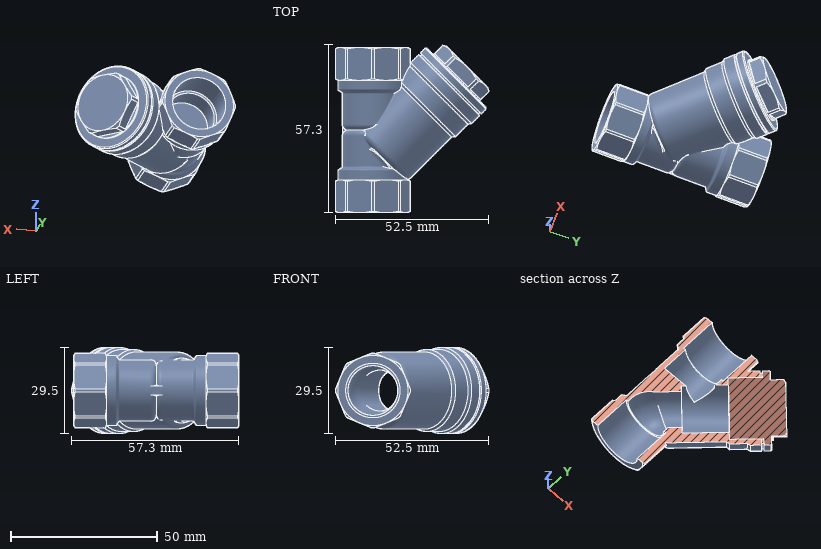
import cadquery as cq
import math

RUN_HALF = 28.25
RUN_RADIUS = 21 / 2
COLLAR_RADIUS = 24 / 2
COLLAR_FOOT = 12.75
COLLAR_CONE_LENGTH = 0.9
COLLAR_ROUND = 0.5
OCTAGON_START = 17.0
OCTAGON_ACROSS_FLATS = 24.0
OCTAGON_CORNER_RADIUS = 25.6 / 2
CORNER_CHAMFER_ANGLE = math.radians(30)

GROOVE_HALF_WIDTH = 1.9
GROOVE_ROUND = 2.0
BAR_TOP_WIDTH = 3.0
BAR_BASE_WIDTH = 4.2
BAR_DEPTH = 2.0

SOCKET_RADIUS = 18.63 / 2
SOCKET_DEPTH = 14.0
BORE_RADIUS = 17 / 2
INLET_ROUND_CENTER = 12.5
OUTLET_BORE_END = INLET_ROUND_CENTER - BORE_RADIUS

BRANCH_ANGLE = math.radians(45)
BRANCH_CROSSING_Y = -10.7
BRANCH_RADIUS = 26.4 / 2
BRANCH_FOOT = 3.1
BRANCH_FOOT_ROUND = 2.1
FOOT_BLEND_RADIUS = 1.5
SIDE_BLEND_RADIUS = 0.5
MIDDLE_RADIUS = 28.1 / 2
MIDDLE_BOTTOM = 25.95
MOUTH_RADIUS = 29.5 / 2
MOUTH_BOTTOM = 33.0
STEP_CONE_LENGTH = 1.05
MOUTH_TOP = 36.9

PORT_RADIUS = 14 / 2
PORT_TOP = 9.9
CHAMBER_RADIUS = 18.5 / 2
PLUG_RADIUS = 24.1 / 2
PLUG_BOTTOM = MIDDLE_BOTTOM

GASKET_RADIUS = 28.1 / 2
GASKET_THICKNESS = 0.8
FLANGE_RADIUS = MOUTH_RADIUS
FLANGE_BOTTOM = MOUTH_TOP + GASKET_THICKNESS
FLANGE_TOP = 40.4
FLANGE_CHAMFER = 0.4
HEX_BASE_HEIGHT = 0.55
HEX_CORNER_RADIUS = 22.38 / 2
HEX_ACROSS_FLATS = 20.0
HEX_TOP = 45.65

branch_plane = cq.Plane(
    origin=(0, BRANCH_CROSSING_Y, 0),
    xDir=(0, 0, 1),
    normal=(math.sin(BRANCH_ANGLE), math.cos(BRANCH_ANGLE), 0),
)


def branch_cylinder(radius, bottom, top):
    return cq.Workplane(branch_plane).workplane(offset=bottom).circle(radius).extrude(top - bottom)


def branch_cone(bottom_radius, top_radius, bottom, top):
    foot = cq.Workplane(branch_plane).workplane(offset=bottom).circle(bottom_radius)
    return foot.workplane(offset=top - bottom).circle(top_radius).loft()


def revolve_about_run(outline):
    return outline.close().revolve(360, (0, 0, 0), (0, 1, 0))


def corner_chamfer_height(corner_radius, across_flats):
    return (corner_radius - across_flats / 2) * math.tan(CORNER_CHAMFER_ANGLE)


def branch_foot():
    """The plain lower length of the branch, with its bottom rim rounded."""
    foot = branch_cylinder(BRANCH_RADIUS, BRANCH_FOOT, MOUTH_TOP)
    bottom = cq.selectors.DirectionMinMaxSelector(-branch_plane.zDir)
    return foot.faces(bottom).edges().fillet(BRANCH_FOOT_ROUND)


def plain_run():
    return cq.Workplane("XZ").circle(RUN_RADIUS).extrude(RUN_HALF - 1, both=True)


def fillet_meeting_edges(shape, radius):
    """Fillet the curved edges where two joined shapes meet."""
    meeting = [edge for edge in shape.edges().vals() if edge.geomType() in ("BSPLINE", "ELLIPSE")]
    return cq.Workplane(shape.val().fillet(radius, meeting))


def foot_blend():
    """The larger fillet from the run up to the flat end of the branch foot."""
    size = 2 * RUN_HALF
    block = cq.Workplane(branch_plane).workplane(offset=BRANCH_FOOT).rect(size, size).extrude(RUN_HALF)
    filleted = fillet_meeting_edges(plain_run().union(block), FOOT_BLEND_RADIUS)
    flat_radius = BRANCH_RADIUS - BRANCH_FOOT_ROUND
    return filleted.intersect(branch_cylinder(flat_radius, 0, BRANCH_FOOT))


def blended_tubes():
    """Plain run and branch tubes with fillets along the line where they meet."""
    tubes = fillet_meeting_edges(plain_run().union(branch_foot()), SIDE_BLEND_RADIUS)
    return tubes.union(foot_blend())


def groove():
    floor_radius = (
        RUN_RADIUS - GROOVE_ROUND + math.sqrt(GROOVE_ROUND**2 - GROOVE_HALF_WIDTH**2)
    )
    half_turn = math.asin(GROOVE_HALF_WIDTH / GROOVE_ROUND) / 2
    mid_radius = RUN_RADIUS - GROOVE_ROUND * (1 - math.cos(half_turn))
    mid_y = GROOVE_HALF_WIDTH - GROOVE_ROUND * math.sin(half_turn)
    ring = revolve_about_run(
        cq.Workplane("XY")
        .moveTo(RUN_RADIUS, -GROOVE_HALF_WIDTH)
        .threePointArc((mid_radius, -mid_y), (floor_radius, 0))
        .threePointArc((mid_radius, mid_y), (RUN_RADIUS, GROOVE_HALF_WIDTH))
        .lineTo(RUN_RADIUS + 1, GROOVE_HALF_WIDTH)
        .lineTo(RUN_RADIUS + 1, -GROOVE_HALF_WIDTH)
    )
    bar_top = -math.sqrt(RUN_RADIUS**2 - (BAR_TOP_WIDTH / 2) ** 2)
    bar = (
        cq.Workplane("XZ")
        .moveTo(bar_top, BAR_TOP_WIDTH / 2)
        .lineTo(bar_top + BAR_DEPTH, BAR_BASE_WIDTH / 2)
        .lineTo(bar_top + BAR_DEPTH, -BAR_BASE_WIDTH / 2)
        .lineTo(bar_top, -BAR_TOP_WIDTH / 2)
        .close()
        .extrude(GROOVE_HALF_WIDTH, both=True)
    )
    return ring.cut(bar).cut(branch_foot())


def run_end():
    """Collar and octagon at the +Y end of the run."""
    collar = revolve_about_run(
        cq.Workplane("XY")
        .moveTo(0, COLLAR_FOOT / 2)
        .lineTo(RUN_RADIUS, COLLAR_FOOT / 2)
        .lineTo(RUN_RADIUS, COLLAR_FOOT)
        .lineTo(COLLAR_RADIUS, COLLAR_FOOT + COLLAR_CONE_LENGTH)
        .lineTo(COLLAR_RADIUS, RUN_HALF - 1)
        .lineTo(0, RUN_HALF - 1)
    )
    cone_rims = cq.selectors.BoxSelector(
        (-COLLAR_RADIUS, COLLAR_FOOT - COLLAR_ROUND, -COLLAR_RADIUS),
        (COLLAR_RADIUS, COLLAR_FOOT + COLLAR_CONE_LENGTH + COLLAR_ROUND, COLLAR_RADIUS),
    )
    collar = collar.edges("%CIRCLE").edges(cone_rims).fillet(COLLAR_ROUND)

    flat_radius = OCTAGON_ACROSS_FLATS / 2
    chamfer = corner_chamfer_height(OCTAGON_CORNER_RADIUS, OCTAGON_ACROSS_FLATS)
    corner_limit = revolve_about_run(
        cq.Workplane("XY")
        .moveTo(0, OCTAGON_START)
        .lineTo(flat_radius, OCTAGON_START)
        .lineTo(OCTAGON_CORNER_RADIUS, OCTAGON_START + chamfer)
        .lineTo(OCTAGON_CORNER_RADIUS, RUN_HALF - chamfer)
        .lineTo(flat_radius, RUN_HALF)
        .lineTo(0, RUN_HALF)
    )
    octagon = (
        cq.Workplane("XZ", origin=(0, RUN_HALF, 0))
        .transformed(rotate=(0, 0, 180 / 8))
        .polygon(8, OCTAGON_ACROSS_FLATS, circumscribed=True)
        .extrude(RUN_HALF - OCTAGON_START)
        .intersect(corner_limit)
    )
    return collar.union(octagon)


def branch_mouth():
    """The two wider steps at the top of the branch, each with a cone under it."""
    middle_cone_foot = MIDDLE_BOTTOM - STEP_CONE_LENGTH
    mouth_cone_foot = MOUTH_BOTTOM - STEP_CONE_LENGTH
    return (
        branch_cone(BRANCH_RADIUS, MIDDLE_RADIUS, middle_cone_foot, MIDDLE_BOTTOM)
        .union(branch_cylinder(MIDDLE_RADIUS, MIDDLE_BOTTOM, MOUTH_BOTTOM))
        .union(branch_cone(MIDDLE_RADIUS, MOUTH_RADIUS, mouth_cone_foot, MOUTH_BOTTOM))
        .union(branch_cylinder(MOUTH_RADIUS, MOUTH_BOTTOM, MOUTH_TOP))
    )


def socket_and_bore(bore_end):
    """Passage from the +Y mouth of the run inward, ending flat at bore_end."""
    socket = cq.Workplane("XZ", origin=(0, RUN_HALF, 0)).circle(SOCKET_RADIUS).extrude(SOCKET_DEPTH)
    bore = cq.Workplane("XZ", origin=(0, RUN_HALF, 0)).circle(BORE_RADIUS).extrude(RUN_HALF - bore_end)
    return socket.union(bore)


def make_body():
    end = run_end()
    outlet = socket_and_bore(OUTLET_BORE_END)
    inlet = socket_and_bore(INLET_ROUND_CENTER).mirror("XZ")
    inlet_round = cq.Workplane("XY", origin=(0, -INLET_ROUND_CENTER, 0)).sphere(BORE_RADIUS)
    return (
        blended_tubes()
        .cut(groove())
        .union(end)
        .union(end.mirror("XZ"))
        .union(branch_mouth())
        .cut(outlet)
        .cut(inlet)
        .cut(inlet_round)
        .cut(branch_cylinder(PORT_RADIUS, 0, PORT_TOP))
        .cut(branch_cylinder(CHAMBER_RADIUS, PORT_TOP, MOUTH_TOP))
        .cut(branch_cylinder(PLUG_RADIUS, PLUG_BOTTOM, MOUTH_TOP))
    )


def make_gasket():
    disc = branch_cylinder(GASKET_RADIUS, MOUTH_TOP, FLANGE_BOTTOM)
    return disc.cut(branch_cylinder(PLUG_RADIUS, MOUTH_TOP, FLANGE_BOTTOM))


def hex_head():
    """Hexagon with its corners turned down to a cylinder and chamfered at the top."""
    corner_limit = branch_cylinder(HEX_CORNER_RADIUS, FLANGE_TOP, HEX_TOP)
    top = cq.selectors.DirectionMinMaxSelector(branch_plane.zDir)
    corner_limit = corner_limit.faces(top).edges().chamfer(
        corner_chamfer_height(HEX_CORNER_RADIUS, HEX_ACROSS_FLATS),
        HEX_CORNER_RADIUS - HEX_ACROSS_FLATS / 2,
    )
    hexagon = (
        cq.Workplane(branch_plane)
        .workplane(offset=FLANGE_TOP)
        .polygon(6, HEX_ACROSS_FLATS, circumscribed=True)
        .extrude(HEX_TOP - FLANGE_TOP)
    )
    return hexagon.intersect(corner_limit)


def make_cap():
    rim = FLANGE_TOP - FLANGE_CHAMFER
    return (
        branch_cylinder(PLUG_RADIUS, PLUG_BOTTOM, FLANGE_BOTTOM)
        .union(branch_cylinder(FLANGE_RADIUS, FLANGE_BOTTOM, rim))
        .union(branch_cone(FLANGE_RADIUS, FLANGE_RADIUS - FLANGE_CHAMFER, rim, FLANGE_TOP))
        .union(branch_cylinder(HEX_CORNER_RADIUS, FLANGE_TOP, FLANGE_TOP + HEX_BASE_HEIGHT))
        .union(hex_head())
    )


body = make_body()
gasket = make_gasket()
cap = make_cap()
result = cq.Compound.makeCompound([body.val(), gasket.val(), cap.val()])